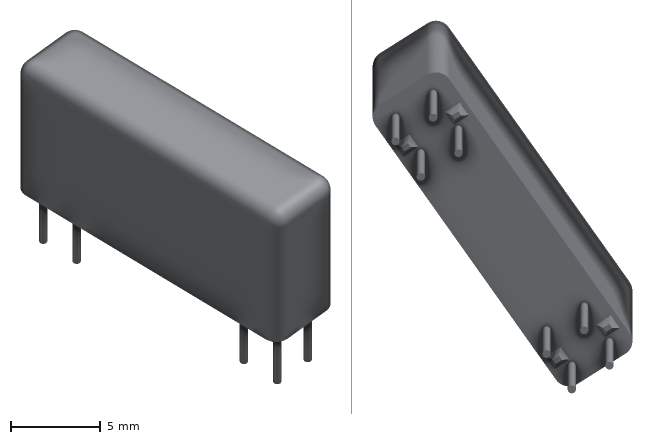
import cadquery as cq

body_length = 19.99
body_width = 4.98
overall_height = 13.46
pin_length = 4.06
body_height = overall_height - pin_length
edge_radius = 0.88

pitch = 2.54
pin_diameter = 0.46
pin_columns = [-3.5 * pitch, -2.5 * pitch, 2.5 * pitch, 3.5 * pitch]
pin_rows = [-pitch / 2, pitch / 2]

foot_height = 0.3
foot_length = 0.9
foot_width = 1.02
tip_length = foot_length - 2 * foot_height
tip_width = foot_width - 2 * foot_height
foot_spacing = 6 * pitch
foot_offset = 0.46
foot_columns = [foot_offset - foot_spacing / 2, foot_offset + foot_spacing / 2]
foot_row = 1.7


def make_body():
    """Box standing on Z = 0 with rounded upright and top edges."""
    box = cq.Workplane("XY").box(body_length, body_width, body_height, centered=(True, True, False))
    return box.edges("|Z or >Z").fillet(edge_radius)


def make_pins():
    """Round pins hanging from the underside of the body."""
    centers = [(x, y) for x in pin_columns for y in pin_rows]
    return cq.Workplane("XY").pushPoints(centers).circle(pin_diameter / 2).extrude(-pin_length)


def make_foot(x, y):
    """Truncated pyramid narrowing downwards from the underside of the body."""
    base = cq.Workplane("XY").center(x, y).rect(foot_length, foot_width)
    return base.workplane(offset=-foot_height).rect(tip_length, tip_width).loft(ruled=True)


result = make_body().union(make_pins())
for foot_x in foot_columns:
    for foot_y in (-foot_row, foot_row):
        result = result.union(make_foot(foot_x, foot_y))